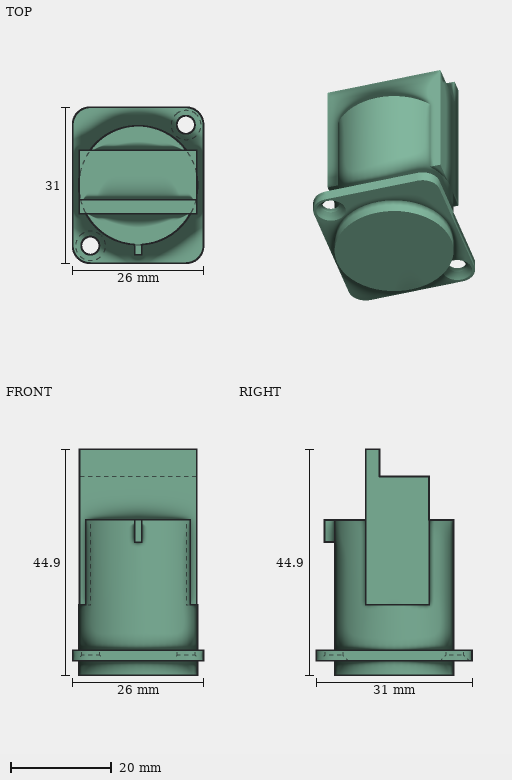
import cadquery as cq

flange_width = 26.0
flange_length = 31.0
flange_thickness = 2.1
flange_bottom = 2.87
corner_radius = 3.5
screw_hole_diameter = 3.55
countersink_diameter = 5.9
countersink_depth = 1.15
screw_hole_x = 9.47
screw_hole_y = 12.0

barrel_diameter = 23.6
barrel_height = 30.85

block_width = 23.35
block_bottom = 14.05
block_front = -5.65
block_back = 6.95
shoulder_height = 39.45
wall_thickness = 2.8
total_height = 44.9

key_width = 1.4
key_height = 4.4
key_front = -13.85


def make_screw_hole():
    hole_radius = screw_hole_diameter / 2
    return (
        cq.Workplane("XZ")
        .lineTo(countersink_diameter / 2, 0)
        .lineTo(hole_radius, countersink_depth)
        .lineTo(hole_radius, flange_thickness)
        .lineTo(0, flange_thickness)
        .close()
        .revolve(360, (0, 0), (0, 1))
    )


def make_flange():
    plate = (
        cq.Workplane("XY")
        .workplane(offset=flange_bottom)
        .rect(flange_width, flange_length)
        .extrude(flange_thickness)
        .edges("|Z")
        .fillet(corner_radius)
    )
    for side in (1, -1):
        hole_position = (side * screw_hole_x, side * screw_hole_y, flange_bottom)
        plate = plate.cut(make_screw_hole().translate(hole_position))
    return plate


def make_barrel():
    barrel = cq.Workplane("XY").circle(barrel_diameter / 2).extrude(barrel_height)
    clearance = cq.Workplane("XY").box(
        barrel_diameter,
        block_back - block_front,
        barrel_height - block_bottom,
        centered=(True, False, False),
    )
    return barrel.cut(clearance.translate((0, block_front, block_bottom)))


def make_block():
    wall_back = block_front + wall_thickness
    return (
        cq.Workplane("YZ")
        .moveTo(block_front, block_bottom)
        .lineTo(block_back, block_bottom)
        .lineTo(block_back, shoulder_height)
        .lineTo(wall_back, shoulder_height)
        .lineTo(wall_back, total_height)
        .lineTo(block_front, total_height)
        .close()
        .extrude(block_width / 2, both=True)
    )


def make_key():
    return (
        cq.Workplane("XY")
        .box(key_width, block_front - key_front, key_height, centered=(True, False, False))
        .translate((0, key_front, barrel_height - key_height))
    )


result = make_flange().union(make_barrel()).union(make_block()).union(make_key())